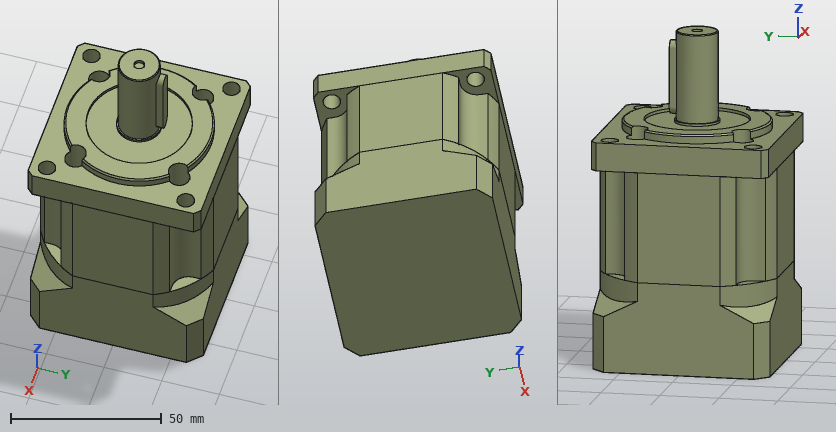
import cadquery as cq
import math

width = 60.0
half_width = width / 2
total_height = 111
base_top = 31.1
flange_bottom = 68.5
flange_top = 78.0
boss_top = 81.0

base_corner_chamfer = 4.5
shoulder_low = 19.0
shoulder_high = 24.8
body_flat_half = 14.0
body_radius = math.hypot(half_width, body_flat_half)

pocket_wall = 18.9
pocket_fillet = 5.8

flange_corner_chamfer = 2.0
corner_hole_radius = 2.9
corner_hole_x = 25.3
corner_hole_y = 24.3
odd_hole_y = 23.9
corner_hole_centers = [
    (-corner_hole_x, -corner_hole_y),
    (corner_hole_x, -corner_hole_y),
    (-corner_hole_x, corner_hole_y),
    (corner_hole_x, odd_hole_y),
]

boss_radius = 25.0
boss_chamfer = 0.5
recess_radius = 17.6
recess_depth = 1.0
recess_floor = boss_top - recess_depth
rim_hole_radius = 3.5
rim_hole_angle = 49

shaft_radius = 7.0
shaft_chamfer = 0.3
shoulder_radius = 7.5
shoulder_top = 80.8
center_hole_radius = 1.8
center_hole_depth = 1.1

key_width = 5.0
key_bottom = 82.5
key_top = 107.5
key_length = key_top - key_bottom
key_outer_y = 9.0


def bevelled_square(chamfer, bottom, top):
    """Square block across the full width with its four upright edges chamfered."""
    return (
        cq.Workplane("XY").workplane(offset=bottom)
        .rect(width, width)
        .extrude(top - bottom)
        .edges("|Z").chamfer(chamfer)
    )


def cylinder(radius, bottom, top):
    return cq.Workplane("XY").workplane(offset=bottom).circle(radius).extrude(top - bottom)


def make_base():
    """Base block whose corners slope up to the round of the gearbox body."""
    block = bevelled_square(base_corner_chamfer, 0, base_top)
    low_diagonal = (2 * half_width - base_corner_chamfer) / math.sqrt(2)
    high_diagonal = (half_width + body_flat_half) / math.sqrt(2)
    slope = (shoulder_high - shoulder_low) / (low_diagonal - high_diagonal)
    apex = shoulder_low + slope * low_diagonal
    wedge = (
        cq.Workplane("XZ")
        .moveTo(0, apex)
        .lineTo(width, apex - slope * width)
        .lineTo(width, apex)
        .close()
        .extrude(half_width, both=True)
    ).cut(cylinder(body_radius, 0, apex))
    for corner in range(4):
        block = block.cut(wedge.rotate((0, 0, 0), (0, 0, 1), 45 + 90 * corner))
    return block


def make_gear_body():
    """Rounded square gearbox body with a filleted pocket in each corner."""
    body = (
        cq.Workplane("XY").workplane(offset=base_top)
        .rect(width, width)
        .extrude(flange_bottom - base_top)
        .intersect(cylinder(body_radius, base_top, flange_bottom))
    )
    pocket = (
        cq.Workplane("XY").workplane(offset=base_top)
        .rect(width, width, centered=False)
        .extrude(flange_bottom - base_top)
        .edges("|Z and <X and <Y").fillet(pocket_fillet)
        .translate((pocket_wall, pocket_wall, 0))
    )
    for corner in range(4):
        body = body.cut(pocket.rotate((0, 0, 0), (0, 0, 1), 90 * corner))
    return body


def make_plate():
    """Square mounting plate with the recessed pilot boss and its screw holes."""
    plate = bevelled_square(flange_corner_chamfer, flange_bottom, flange_top)
    boss = cylinder(boss_radius, flange_top, boss_top).faces(">Z").chamfer(boss_chamfer)
    corner_holes = (
        cq.Workplane("XY").workplane(offset=flange_bottom)
        .pushPoints(corner_hole_centers)
        .circle(corner_hole_radius)
        .extrude(flange_top - flange_bottom)
    )
    rim_holes = (
        cq.Workplane("XY").workplane(offset=flange_bottom)
        .polarArray(boss_radius, rim_hole_angle, 360, 4)
        .circle(rim_hole_radius)
        .extrude(boss_top - flange_bottom)
    )
    recess = cylinder(recess_radius, recess_floor, boss_top)
    return plate.union(boss).cut(corner_holes).cut(rim_holes).cut(recess)


def make_shaft():
    """Output shaft rising from a low shoulder, with its key and a center hole."""
    shoulder = cylinder(shoulder_radius, recess_floor, shoulder_top)
    journal = cylinder(shaft_radius, recess_floor, total_height).faces(">Z").chamfer(shaft_chamfer)
    center_hole = cylinder(center_hole_radius, total_height - center_hole_depth, total_height)
    key = (
        cq.Workplane("XZ", origin=(0, key_outer_y, key_bottom + key_length / 2))
        .slot2D(key_length, key_width, 90)
        .extrude(key_outer_y)
    )
    return journal.union(shoulder).union(key).cut(center_hole)


def make_output_flange():
    """Mounting plate and output shaft as one solid."""
    return make_plate().union(make_shaft())


base = make_base()
gear_body = make_gear_body()
output_flange = make_output_flange()

result = cq.Compound.makeCompound([base.val(), gear_body.val(), output_flange.val()])